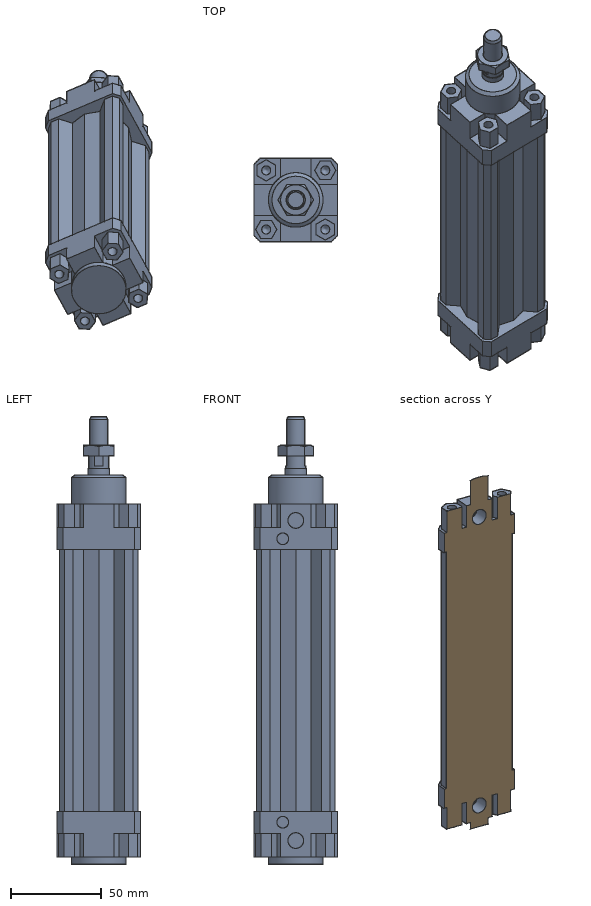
import cadquery as cq
import math

rear_cap_bottom = 4.0
cap_height = 25.0
front_cap_top = 198.0
collar_top = 214.0
neck_bottom = 217.5
nut_bottom = 224.4
nut_height = 6.0
rod_top = 246.0

rear_cap_top = rear_cap_bottom + cap_height
front_cap_bottom = front_cap_top - cap_height

cap_width = 46.0
cap_corner_chamfer = 3.5
cross_arm_width = 17.0
pocket_depth = 13.0
pocket_corner_chamfer = 4.0
collar_radius = 15.0
collar_chamfer_radial = 2.0
collar_chamfer_height = 1.5

bolt_offset = 16.2
bolt_across_flats = 10.0
bolt_hole_radius = 2.5
bolt_hole_depth = 9.8
drill_point_angle = 118.0

port_diameter = 8.5
port_depth = 9.8
port_from_end = 9.0
screw_recess_diameter = 6.5
screw_recess_depth = 1.7
screw_recess_x = -7.1
screw_recess_from_end = 19.2

barrel_half_width = 21.6
barrel_corner_chamfer = 3.0
groove_half_width = 14.0
groove_depth = 5.7
groove_ridge_height = 2.2

rod_diameter = 12.0
neck_diameter = 11.0
thread_diameter = 10.0
wrench_flat_width = 10.0
wrench_flat_bottom = 219.0
rod_tip_chamfer_radial = 0.7
rod_tip_chamfer_height = 1.7

nut_across_flats = 17.0
nut_chamfer_radial = 1.5
nut_chamfer_height = 0.7
nut_bore_chamfer = 0.2


def hexagon_diameter(across_flats):
    """Corner-to-corner diameter of a regular hexagon."""
    return across_flats / math.cos(math.pi / 6)


def quarter_turns(workplane):
    """The same shape repeated at 0, 90, 180 and 270 degrees about Z."""
    return [workplane.rotate((0, 0, 0), (0, 0, 1), 90 * turn) for turn in range(4)]


def make_corner_pocket():
    """Square notch in the -X -Y corner of a front cap, open to its top face."""
    pocket_size = (cap_width - cross_arm_width) / 2
    pocket_centre = -(cross_arm_width + pocket_size) / 2
    return (
        cq.Workplane("XY", origin=(pocket_centre, pocket_centre, front_cap_top - pocket_depth))
        .rect(pocket_size, pocket_size)
        .extrude(pocket_depth)
        .edges("|Z and >X and >Y")
        .chamfer(pocket_corner_chamfer)
    )


def make_corner_bolt():
    """Hexagonal post standing in the -X -Y corner pocket."""
    return (
        cq.Workplane("XY", origin=(-bolt_offset, -bolt_offset, front_cap_top - pocket_depth))
        .polygon(6, hexagon_diameter(bolt_across_flats))
        .extrude(pocket_depth)
    )


def make_bolt_hole():
    """Blind drilled hole with a conical end, in the -X -Y corner bolt."""
    point_length = bolt_hole_radius / math.tan(math.radians(drill_point_angle / 2))
    return (
        cq.Workplane("XZ")
        .moveTo(0, 0)
        .lineTo(bolt_hole_radius, 0)
        .lineTo(bolt_hole_radius, -bolt_hole_depth)
        .lineTo(0, -bolt_hole_depth - point_length)
        .close()
        .revolve(360, (0, 0, 0), (0, 1, 0))
        .translate((-bolt_offset, -bolt_offset, front_cap_top))
    )


def make_side_hole(x, from_end, diameter, depth):
    """Blind round hole going in from the -Y face of the front cap."""
    return (
        cq.Workplane("XZ", origin=(x, -cap_width / 2, front_cap_top - from_end))
        .circle(diameter / 2)
        .extrude(-depth)
    )


def make_front_cap():
    """End cap with its four corner bolts and its ports, without the collar."""
    cap = (
        cq.Workplane("XY", origin=(0, 0, front_cap_bottom))
        .rect(cap_width, cap_width)
        .extrude(cap_height)
        .edges("|Z")
        .chamfer(cap_corner_chamfer)
    )
    for pocket in quarter_turns(make_corner_pocket()):
        cap = cap.cut(pocket)
    for bolt in quarter_turns(make_corner_bolt()):
        cap = cap.union(bolt)
    for hole in quarter_turns(make_bolt_hole()):
        cap = cap.cut(hole)
    cap = cap.cut(make_side_hole(0, port_from_end, port_diameter, port_depth))
    cap = cap.cut(
        make_side_hole(screw_recess_x, screw_recess_from_end, screw_recess_diameter, screw_recess_depth)
    )
    return cap


def make_rear_cap(front_cap):
    """The front cap turned upside down by mirroring, at the rear end of the barrel."""
    return front_cap.mirror("XY").translate((0, 0, front_cap_top + rear_cap_bottom))


def make_front_collar():
    """Round collar on the front cap, around the rod, with a chamfered rim."""
    return (
        cq.Workplane("XY", origin=(0, 0, front_cap_top))
        .circle(collar_radius)
        .extrude(collar_top - front_cap_top)
        .faces(">Z")
        .chamfer(collar_chamfer_height, collar_chamfer_radial)
    )


def make_rear_boss():
    """Plain round boss under the rear cap."""
    return cq.Workplane("XY").circle(collar_radius).extrude(rear_cap_bottom)


def make_barrel():
    """Extruded profile with a ridged groove along each of its four sides."""
    flat_end = barrel_half_width - barrel_corner_chamfer
    floor_half_width = groove_half_width - groove_depth
    floor_y = groove_depth - barrel_half_width
    one_side = [
        (-flat_end, -barrel_half_width),
        (-groove_half_width, -barrel_half_width),
        (-floor_half_width, floor_y),
        (0, floor_y - groove_ridge_height),
        (floor_half_width, floor_y),
        (groove_half_width, -barrel_half_width),
        (flat_end, -barrel_half_width),
    ]
    outline = []
    side = one_side
    for _ in range(4):
        outline.extend(side)
        side = [(-y, x) for x, y in side]
    return (
        cq.Workplane("XY", origin=(0, 0, rear_cap_top))
        .polyline(outline)
        .close()
        .extrude(front_cap_bottom - rear_cap_top)
    )


def make_housing():
    """Barrel, both end caps, collar and rear boss as one solid."""
    front_cap = make_front_cap()
    return (
        make_barrel()
        .union(front_cap)
        .union(make_rear_cap(front_cap))
        .union(make_front_collar())
        .union(make_rear_boss())
    )


def make_rod():
    """Stepped rod standing on the collar, with two wrench flats on its neck."""
    rod_radius = rod_diameter / 2
    neck_radius = neck_diameter / 2
    thread_radius = thread_diameter / 2
    rod = (
        cq.Workplane("XZ")
        .moveTo(0, collar_top)
        .lineTo(rod_radius, collar_top)
        .lineTo(rod_radius, neck_bottom)
        .lineTo(neck_radius, neck_bottom)
        .lineTo(neck_radius, nut_bottom)
        .lineTo(thread_radius, nut_bottom)
        .lineTo(thread_radius, rod_top - rod_tip_chamfer_height)
        .lineTo(thread_radius - rod_tip_chamfer_radial, rod_top)
        .lineTo(0, rod_top)
        .close()
        .revolve(360, (0, 0, 0), (0, 1, 0))
    )
    for side in (-1, 1):
        flat_cut_x = side * (wrench_flat_width + neck_diameter) / 2
        flat_cut = (
            cq.Workplane("XY", origin=(flat_cut_x, 0, wrench_flat_bottom))
            .rect(neck_diameter, neck_diameter)
            .extrude(nut_bottom - wrench_flat_bottom)
        )
        rod = rod.cut(flat_cut)
    return rod


def make_nut():
    """Hexagon nut with a flat underside, and its corners and bore chamfered on top."""
    corner_diameter = hexagon_diameter(nut_across_flats)
    nut_plane = cq.Workplane("XY", origin=(0, 0, nut_bottom))
    hexagon = nut_plane.polygon(6, corner_diameter).extrude(nut_height)
    turned_blank = (
        nut_plane.circle(corner_diameter / 2)
        .extrude(nut_height)
        .faces(">Z")
        .chamfer(nut_chamfer_height, nut_chamfer_radial)
    )
    bore = nut_plane.circle(thread_diameter / 2).extrude(nut_height)
    bore_rim = (
        nut_plane.workplane(offset=nut_height)
        .circle(thread_diameter / 2 + nut_bore_chamfer)
        .extrude(-nut_bore_chamfer, taper=45)
    )
    return hexagon.intersect(turned_blank).cut(bore).cut(bore_rim)


housing = make_housing()
rod = make_rod()
nut = make_nut()

result = cq.Compound.makeCompound([housing.val(), rod.val(), nut.val()])